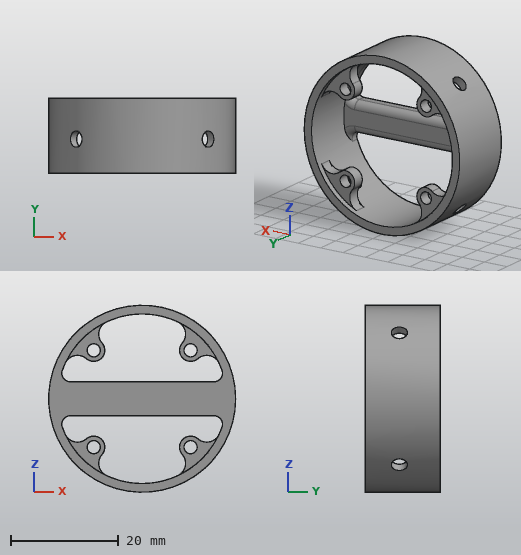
import cadquery as cq
import math

outer_radius = 17.4
wall = 1.651
inner_radius = outer_radius - wall
sleeve_length = 12.7
rim_length = 1.27
length = sleeve_length + rim_length

bar_width = 6.35
bar_thickness = 3.175
bar_edge_radius = bar_thickness / 2
window_corner_radius = bar_edge_radius

lug_thickness = 2.54
lug_front_y = sleeve_length - lug_thickness
lug_offset = 9.0
lug_radius = 2.07
lug_blend_radius = 2.54
screw_hole_diameter = 2.4

radial_hole_diameter = 3.0
radial_hole_y = sleeve_length / 2

diagonal_angles = [45, 135, 225, 315]


def plane_at(y):
    """XZ workplane at the given Y whose extrusions run toward +Y (local x = X, local y = -Z)."""
    return cq.Workplane(cq.Plane(origin=(0, y, 0), xDir=(1, 0, 0), normal=(0, 1, 0)))


def polar(radius, angle):
    return (radius * math.cos(angle), radius * math.sin(angle))


def make_ring():
    return plane_at(0).circle(outer_radius).circle(inner_radius).extrude(length)


def make_window(side):
    """Cutter for the opening between the bar and the ring wall, on side +1 or -1 of the bar."""
    edge = side * bar_width / 2
    half_chord = math.sqrt(inner_radius**2 - edge**2)
    return (
        plane_at(0)
        .moveTo(-half_chord, edge)
        .threePointArc((0, side * inner_radius), (half_chord, edge))
        .close()
        .extrude(bar_thickness)
        .edges("|Y")
        .fillet(window_corner_radius)
    )


def make_crossbar():
    """Disc with two windows whose back rims are rounded; the ring wall refills it outside the bar."""
    disc = plane_at(0).circle(outer_radius).extrude(bar_thickness)
    for side in (1, -1):
        disc = disc.cut(make_window(side))
    window_rims = [rim for wire in disc.faces(">Y").val().innerWires() for rim in wire.Edges()]
    return disc.newObject(window_rims).fillet(bar_edge_radius)


def make_lug(angle):
    """Lug growing inward from the wall, its blend arcs tangent to both the lug tip and the wall."""
    hole_distance = lug_offset * math.sqrt(2)
    blend_distance = inner_radius - lug_blend_radius
    tip_distance = lug_radius + lug_blend_radius
    blend_angle = math.acos(
        (hole_distance**2 + blend_distance**2 - tip_distance**2) / (2 * hole_distance * blend_distance)
    )
    blend_x, blend_y = polar(blend_distance, blend_angle)
    wall_x, wall_y = polar(inner_radius, blend_angle)
    lug_share = lug_radius / tip_distance
    tangent_x = hole_distance + lug_share * (blend_x - hole_distance)
    tangent_y = lug_share * blend_y
    end_angle = math.atan2(tangent_y - blend_y, tangent_x - blend_x)
    mid_angle = (blend_angle + end_angle) / 2
    mid_x = blend_x + lug_blend_radius * math.cos(mid_angle)
    mid_y = blend_y + lug_blend_radius * math.sin(mid_angle)
    root_radius = outer_radius - wall / 2
    root_x, root_y = polar(root_radius, blend_angle)
    lug = (
        plane_at(lug_front_y)
        .moveTo(root_x, root_y)
        .lineTo(wall_x, wall_y)
        .threePointArc((mid_x, mid_y), (tangent_x, tangent_y))
        .threePointArc((hole_distance - lug_radius, 0), (tangent_x, -tangent_y))
        .threePointArc((mid_x, -mid_y), (wall_x, -wall_y))
        .lineTo(root_x, -root_y)
        .threePointArc((root_radius, 0), (root_x, root_y))
        .close()
        .extrude(lug_thickness)
    )
    hole = (
        plane_at(lug_front_y)
        .center(hole_distance, 0)
        .circle(screw_hole_diameter / 2)
        .extrude(lug_thickness)
    )
    return lug.cut(hole).rotate((0, 0, 0), (0, 1, 0), angle)


def make_radial_hole(angle):
    """Cutter through the wall, starting one wall inside the bore and ending one wall outside."""
    hole = (
        cq.Workplane("YZ", origin=(inner_radius - wall, 0, 0))
        .center(radial_hole_y, 0)
        .circle(radial_hole_diameter / 2)
        .extrude(3 * wall)
    )
    return hole.rotate((0, 0, 0), (0, 1, 0), angle)


result = make_ring().union(make_crossbar())
for angle in diagonal_angles:
    result = result.union(make_lug(angle)).cut(make_radial_hole(angle))